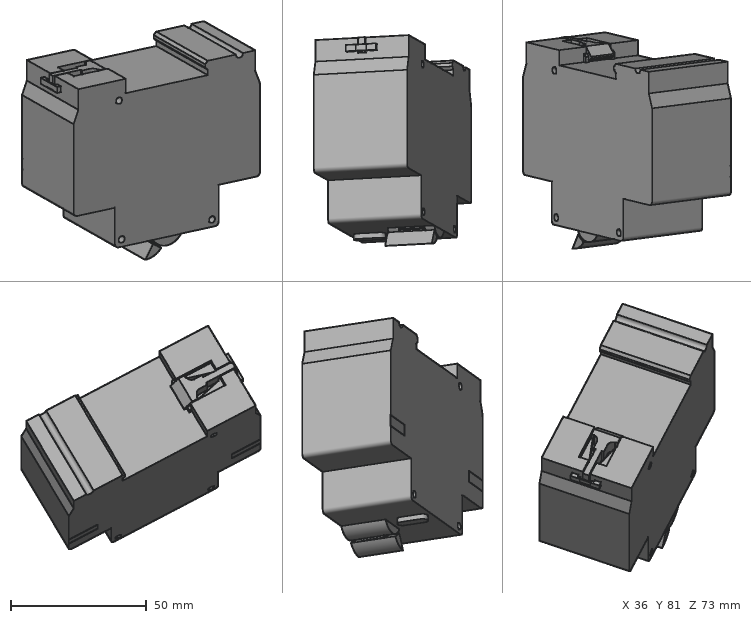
import cadquery as cq
import math


WIDTH = 36.0
LENGTH = 80.9
DEPTH = 73.0
HALF_WIDTH = WIDTH / 2
HALF_LENGTH = LENGTH / 2

BACK_Z = 5.7
BACK_HALF_LENGTH = 38.4
SLOPE_TOP_Z = -2.4
SLOPE_BOTTOM_Z = -7.7
SHOULDER_Z = -44.15
FRONT_Z = -60.1
FRONT_HALF_LENGTH = 22.5
EDGE_RADIUS = 1.6

RECESS_Y = 17.7
LATCH_WALL_Y = -17.8
LIP_REACH = 1.1
LIP_TOP_Z = BACK_Z - LIP_REACH
LIP_BOTTOM_Z = 3.2
LIP_ROOT_Z = LIP_BOTTOM_Z - LIP_REACH

GROOVE_Y = 31.5
GROOVE_RADIUS = 1.5

HOLE_DIAMETER = 2.6
HOLE_PLACES = [(-20.7, -2.35), (19.6, -57.2), (-19.6, -57.2)]

INLAY_THICKNESS = 0.1
INLAY_OVERHANG = 0.04
INLAY_LENGTH = 12.15
INLAY_TOP_Z = -32.9
INLAY_HEIGHT = 4.2

CLIP_HEAD_HALF_WIDTH = 5.2
CLIP_NECK_HALF_WIDTH = 2.1
CLIP_STEM_HALF_WIDTH = 1.2
CLIP_TIP_Y = -15.3
CLIP_HEAD_END_Y = -21.2
CLIP_SHOULDER_Y = -21.5
CLIP_NECK_END_Y = -26.9
CLIP_STEM_END_Y = -39.1
CLIP_FILLET_RADIUS = 2.1
CLIP_TIP_TOP_Z = 2.3
CLIP_TIP_BOTTOM_Z = 1.6
CLIP_NOSE_BOTTOM_Z = 0.8

WINDOW_HALF_WIDTH = 5.5
WINDOW_END_Y = -32.65
STEM_SLOT_HALF_WIDTH = 1.5

SLIDER_HALF_WIDTH = 5.75
SLIDER_TOP_Z = 3.15
TAPER_START_HALF_WIDTH = 4.8
TAPER_END_HALF_WIDTH = 1.9
TAPER_END_Y = -31.8
HOOK_HALF_WIDTH = 6.65
HOOK_TIP_Y = -16.7
BAR_BOTTOM_Z = 0.6
BAR_TOP_Z = 2.9
BAR_INNER_Y = -39.05
BAR_OUTER_Y = -40.0
BAR_NOTCH_Y = -39.6
BAR_NOTCH_HALF_WIDTH = 2.1
LEG_INNER_HALF_WIDTH = 3.2

BUTTON_X = -10.05
BUTTON_Y = 4.1
BUTTON_LENGTH = 12.15
BUTTON_WIDTH = 4.05
BUTTON_HEIGHT = 1.95

DRUM_RADIUS = 7.2
DRUM_REACH = 3.4
LEVER_WIDTH = HALF_WIDTH
DRUM_AXIS_Z = FRONT_Z - DRUM_REACH + DRUM_RADIUS
NECK_WIDTH = 10.05
NECK_X = 9.15
NECK_THICKNESS = 1.8
NECK_LENGTH = 4.9
SLOT_THICKNESS = 4.9
SLOT_LENGTH = 3.9
HANDLE_HEEL = (-2.4, -64.0)
HANDLE_TOE = (-6.0, -61.7)
HANDLE_BELLY = (-5.35, -66.3)
HANDLE_TIP = (-9.4, BACK_Z - DEPTH)


def box(x0, x1, y0, y1, z0, z1):
    """Box between two corners."""
    return cq.Workplane("XY").box(x1 - x0, y1 - y0, z1 - z0, centered=False).translate((x0, y0, z0))


def centred_box(half_width, y0, y1, z0, z1):
    """Box symmetric about X = 0."""
    return box(-half_width, half_width, y0, y1, z0, z1)


def make_inlay(side):
    """Thin strip in the -X side, at the +Y end (side = 1) or the -Y end (side = -1)."""
    outer_y = side * (HALF_LENGTH + INLAY_OVERHANG)
    inner_y = side * (HALF_LENGTH - INLAY_LENGTH)
    return box(
        -HALF_WIDTH,
        -HALF_WIDTH + INLAY_THICKNESS,
        min(outer_y, inner_y),
        max(outer_y, inner_y),
        INLAY_TOP_Z - INLAY_HEIGHT,
        INLAY_TOP_Z,
    )


def make_slider():
    """Plate with rail hooks, a tapered fork that clears the clip, and two legs joined by the pull bar."""
    plate = centred_box(SLIDER_HALF_WIDTH, WINDOW_END_Y, LATCH_WALL_Y, 0, SLIDER_TOP_Z)
    hook_front = SLIDER_TOP_Z - (HOOK_TIP_Y - LATCH_WALL_Y)
    hook_outline = [
        (LATCH_WALL_Y, 0),
        (HOOK_TIP_Y, 0),
        (HOOK_TIP_Y, hook_front),
        (LATCH_WALL_Y, SLIDER_TOP_Z),
    ]
    hook = cq.Workplane("YZ").polyline(hook_outline).close().extrude(HOOK_HALF_WIDTH, both=True)
    half_fork = [
        (CLIP_HEAD_HALF_WIDTH, HOOK_TIP_Y),
        (CLIP_HEAD_HALF_WIDTH, CLIP_HEAD_END_Y),
        (TAPER_START_HALF_WIDTH, CLIP_HEAD_END_Y),
        (TAPER_END_HALF_WIDTH, TAPER_END_Y),
        (CLIP_STEM_HALF_WIDTH, TAPER_END_Y),
        (CLIP_STEM_HALF_WIDTH, WINDOW_END_Y),
    ]
    mirrored = [(-x, y) for x, y in reversed(half_fork)]
    fork = cq.Workplane("XY").polyline(half_fork + mirrored).close().extrude(SLIDER_TOP_Z)
    legs = centred_box(SLIDER_HALF_WIDTH, BAR_OUTER_Y, WINDOW_END_Y, BAR_BOTTOM_Z, BAR_TOP_Z)
    leg_gap = centred_box(LEG_INNER_HALF_WIDTH, BAR_INNER_Y, WINDOW_END_Y, BAR_BOTTOM_Z, BAR_TOP_Z)
    notch = centred_box(BAR_NOTCH_HALF_WIDTH, BAR_NOTCH_Y, BAR_INNER_Y, BAR_BOTTOM_Z, BAR_TOP_Z)
    return plate.union(hook).cut(fork).union(legs.cut(leg_gap).cut(notch))


def make_clip():
    """Plan shape with a wide head and a narrow stem, trimmed to a nosed side shape."""
    bend = CLIP_FILLET_RADIUS * (1 - math.sqrt(0.5))
    plan = (
        cq.Workplane("XY")
        .moveTo(0, CLIP_TIP_Y)
        .lineTo(CLIP_HEAD_HALF_WIDTH, CLIP_TIP_Y)
        .lineTo(CLIP_HEAD_HALF_WIDTH, CLIP_HEAD_END_Y)
        .lineTo(CLIP_NECK_HALF_WIDTH + CLIP_FILLET_RADIUS, CLIP_HEAD_END_Y)
        .lineTo(CLIP_NECK_HALF_WIDTH + CLIP_FILLET_RADIUS, CLIP_SHOULDER_Y)
        .threePointArc(
            (CLIP_NECK_HALF_WIDTH + bend, CLIP_SHOULDER_Y - bend),
            (CLIP_NECK_HALF_WIDTH, CLIP_SHOULDER_Y - CLIP_FILLET_RADIUS),
        )
        .lineTo(CLIP_NECK_HALF_WIDTH, CLIP_NECK_END_Y)
        .lineTo(CLIP_STEM_HALF_WIDTH, CLIP_NECK_END_Y)
        .lineTo(CLIP_STEM_HALF_WIDTH, CLIP_STEM_END_Y)
        .lineTo(0, CLIP_STEM_END_Y)
        .mirrorY()
        .extrude(BACK_Z)
    )
    nose_slope = BACK_Z - CLIP_TIP_TOP_Z
    nose_chamfer = CLIP_TIP_BOTTOM_Z - CLIP_NOSE_BOTTOM_Z
    side_outline = [
        (CLIP_STEM_END_Y, 0),
        (LATCH_WALL_Y, 0),
        (LATCH_WALL_Y, CLIP_NOSE_BOTTOM_Z),
        (CLIP_TIP_Y - nose_chamfer, CLIP_NOSE_BOTTOM_Z),
        (CLIP_TIP_Y, CLIP_TIP_BOTTOM_Z),
        (CLIP_TIP_Y, CLIP_TIP_TOP_Z),
        (CLIP_TIP_Y - nose_slope, BACK_Z),
        (CLIP_STEM_END_Y, BACK_Z),
    ]
    side = cq.Workplane("YZ").polyline(side_outline).close().extrude(HALF_WIDTH, both=True)
    return plan.intersect(side)


def make_button():
    """Round-ended key standing on the front face."""
    return (
        cq.Workplane("XY", origin=(BUTTON_X, BUTTON_Y, FRONT_Z))
        .slot2D(BUTTON_LENGTH, BUTTON_WIDTH)
        .extrude(-BUTTON_HEIGHT)
    )


def along_lever(thickness, length):
    """Block as wide as the neck, square to the inner edge of the handle and centred on it."""
    rise = HANDLE_TOE[1] - HANDLE_HEEL[1]
    run = HANDLE_HEEL[0] - HANDLE_TOE[0]
    tilt = math.degrees(math.atan2(rise, run))
    middle_y = (HANDLE_HEEL[0] + HANDLE_TOE[0]) / 2
    middle_z = (HANDLE_HEEL[1] + HANDLE_TOE[1]) / 2
    block = cq.Workplane("XY").box(NECK_WIDTH, thickness, length).rotate((0, 0, 0), (1, 0, 0), -tilt)
    return block.translate((NECK_X, middle_y, middle_z))


def make_lever():
    """Drum segment on the front face with the handle held off it by the neck."""
    drum = cq.Workplane("YZ").center(0, DRUM_AXIS_Z).circle(DRUM_RADIUS).extrude(LEVER_WIDTH)
    drum = drum.intersect(box(0, LEVER_WIDTH, -LENGTH, LENGTH, FRONT_Z - DRUM_REACH, FRONT_Z))
    handle = (
        cq.Workplane("YZ")
        .moveTo(*HANDLE_HEEL)
        .threePointArc(HANDLE_BELLY, HANDLE_TIP)
        .lineTo(*HANDLE_TOE)
        .close()
        .extrude(LEVER_WIDTH)
    )
    slot = along_lever(SLOT_THICKNESS, SLOT_LENGTH)
    neck = along_lever(NECK_THICKNESS, NECK_LENGTH)
    return drum.cut(slot).union(neck).union(handle)


def clip_clearance():
    """Window round the clip head and slot round its stem, both open at the back."""
    window = centred_box(WINDOW_HALF_WIDTH, WINDOW_END_Y, LATCH_WALL_Y, 0, BACK_Z)
    stem_slot = centred_box(STEM_SLOT_HALF_WIDTH, -HALF_LENGTH, WINDOW_END_Y, 0, BACK_Z)
    return window.union(stem_slot)


def make_housing():
    """Stepped profile through the full width, with rounded front edges, groove, holes and clip window."""
    outline = [
        (BACK_HALF_LENGTH, BACK_Z),
        (BACK_HALF_LENGTH, SLOPE_TOP_Z),
        (HALF_LENGTH, SLOPE_BOTTOM_Z),
        (HALF_LENGTH, SHOULDER_Z),
        (FRONT_HALF_LENGTH, SHOULDER_Z),
        (FRONT_HALF_LENGTH, FRONT_Z),
        (-FRONT_HALF_LENGTH, FRONT_Z),
        (-FRONT_HALF_LENGTH, SHOULDER_Z),
        (-HALF_LENGTH, SHOULDER_Z),
        (-HALF_LENGTH, SLOPE_BOTTOM_Z),
        (-BACK_HALF_LENGTH, SLOPE_TOP_Z),
        (-BACK_HALF_LENGTH, BACK_Z),
        (LATCH_WALL_Y, BACK_Z),
        (LATCH_WALL_Y, 0),
        (RECESS_Y, 0),
        (RECESS_Y, LIP_ROOT_Z),
        (RECESS_Y - LIP_REACH, LIP_BOTTOM_Z),
        (RECESS_Y - LIP_REACH, LIP_TOP_Z),
        (RECESS_Y, BACK_Z),
    ]
    body = cq.Workplane("YZ").polyline(outline).close().extrude(HALF_WIDTH, both=True)
    for y, z in ((HALF_LENGTH, SHOULDER_Z), (FRONT_HALF_LENGTH, FRONT_Z)):
        for side in (-1, 1):
            body = body.edges(cq.NearestToPointSelector((0, side * y, z))).fillet(EDGE_RADIUS)
    side_face = cq.Workplane("YZ", origin=(-HALF_WIDTH, 0, 0))
    groove = side_face.pushPoints([(GROOVE_Y, BACK_Z)]).circle(GROOVE_RADIUS).extrude(WIDTH)
    holes = side_face.pushPoints(HOLE_PLACES).circle(HOLE_DIAMETER / 2).extrude(WIDTH)
    return body.cut(groove).cut(holes).cut(clip_clearance())


inlays = [make_inlay(side) for side in (-1, 1)]
slider = make_slider()
clip = make_clip()
button = make_button()
lever = make_lever()
housing = make_housing().cut(slider)
for inlay in inlays:
    housing = housing.cut(inlay)

result = cq.Compound.makeCompound(
    [housing.val(), slider.val(), clip.val(), button.val(), lever.val(), *[inlay.val() for inlay in inlays]]
)